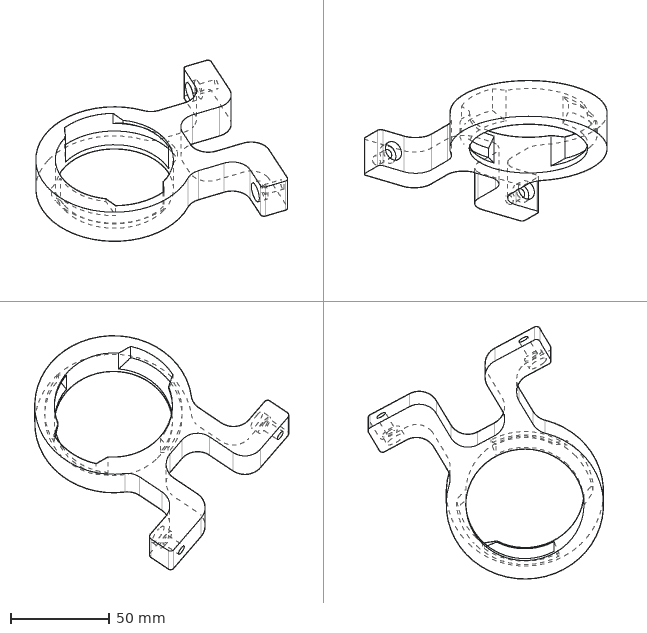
import cadquery as cq
import math

thickness = 20.0
ring_radius = 40.0
bore_radius = 30.0
top_y = 75.0
arm_tip_x = 50.0
arm_width = 15.0
leg_outer_x = arm_tip_x / 2
leg_inner_x = 15.0
slot_bottom_y = 40.0
bend_radius = 10.0
tip_radius = 2.0

hole_diameter = 5.0
counterbore_diameter = 10.0
counterbore_depth = 5.0

pocket_radius = 35.0
pocket_half_width = 13.5
pocket_flare = 20.0
pocket_rim = 3.0
track_roof = 2.0

arm_bottom_y = top_y - arm_width
arm_hole_x = (leg_outer_x + bend_radius + arm_tip_x - tip_radius) / 2
pocket_floor_rise = pocket_radius - bore_radius


def box(x_min, x_max, y_min, y_max):
    """Full-thickness block between the given limits."""
    size_x = x_max - x_min
    size_y = y_max - y_min
    return cq.Workplane("XY").box(size_x, size_y, thickness, centered=False).translate((x_min, y_min, 0))


def round_edges(body, points, radius):
    """Round the vertical edges at the given points on both sides of the YZ plane."""
    reach = 0.1
    for x, y in points:
        for side in (-1, 1):
            corner = cq.selectors.BoxSelector(
                (side * x - reach, y - reach, 0), (side * x + reach, y + reach, thickness)
            )
            body = body.edges(corner).edges("|Z").fillet(radius)
    return body


def make_body():
    """Ring with two L-shaped arms."""
    body = cq.Workplane("XY").circle(ring_radius).extrude(thickness)
    body = body.union(box(-leg_outer_x, leg_outer_x, 0, top_y))
    body = body.union(box(-arm_tip_x, arm_tip_x, arm_bottom_y, top_y))
    body = body.cut(box(-leg_inner_x, leg_inner_x, slot_bottom_y, top_y))

    ring_joint_y = math.sqrt(ring_radius**2 - leg_outer_x**2)
    bends = [
        (leg_inner_x, top_y),
        (leg_inner_x, slot_bottom_y),
        (leg_outer_x, arm_bottom_y),
        (leg_outer_x, ring_joint_y),
    ]
    tips = [(arm_tip_x, top_y), (arm_tip_x, arm_bottom_y)]
    body = round_edges(body, bends, bend_radius)
    body = round_edges(body, tips, tip_radius)
    return body.cut(cq.Workplane("XY").circle(bore_radius).extrude(thickness))


def turned_pocket(outer_wall_top, bore_top, angle):
    """Pocket swept about the Z axis, with a conical floor and the given heights of its roof."""
    profile = [
        (0, pocket_rim),
        (bore_radius, pocket_rim),
        (pocket_radius, pocket_rim + pocket_floor_rise),
        (pocket_radius, outer_wall_top),
        (bore_radius, bore_top),
        (0, bore_top),
    ]
    return cq.Workplane("XZ").polyline(profile).close().revolve(angle, (0, 0, 0), (0, 1, 0))


def make_pockets():
    """Two opposite entry pockets in the bore, open at the top."""
    turned = turned_pocket(thickness, thickness, 360)

    wall_corner_x = math.sqrt(pocket_radius**2 - pocket_half_width**2)
    slope = math.tan(math.radians(pocket_flare))
    middle_half_width = pocket_half_width + wall_corner_x * slope
    end_half_width = pocket_half_width - (ring_radius - wall_corner_x) * slope
    limits = [
        (-ring_radius, -end_half_width),
        (0, -middle_half_width),
        (ring_radius, -end_half_width),
        (ring_radius, end_half_width),
        (0, middle_half_width),
        (-ring_radius, end_half_width),
    ]
    wedge = cq.Workplane("XY").polyline(limits).close().extrude(thickness)
    return turned.intersect(wedge)


def make_tracks():
    """Two covered quarter-turn tracks, each leading on from an entry pocket, with a conical roof."""
    bore_top = thickness - track_roof
    track = turned_pocket(bore_top - pocket_floor_rise, bore_top, 90)
    axis_start = (0, 0, 0)
    axis_end = (0, 0, 1)
    first = track.rotate(axis_start, axis_end, 90)
    second = first.rotate(axis_start, axis_end, 180)
    return first.union(second)


def drill_arms(body):
    """Counterbored screw hole through each arm, entered from the ring side."""
    face = cq.Workplane("XZ", origin=(0, arm_bottom_y, thickness / 2))
    centres = [(-arm_hole_x, 0), (arm_hole_x, 0)]
    holes = face.pushPoints(centres).circle(hole_diameter / 2).extrude(-arm_width)
    counterbores = face.pushPoints(centres).circle(counterbore_diameter / 2).extrude(-counterbore_depth)
    return body.cut(holes).cut(counterbores)


result = drill_arms(make_body().cut(make_pockets()).cut(make_tracks()))